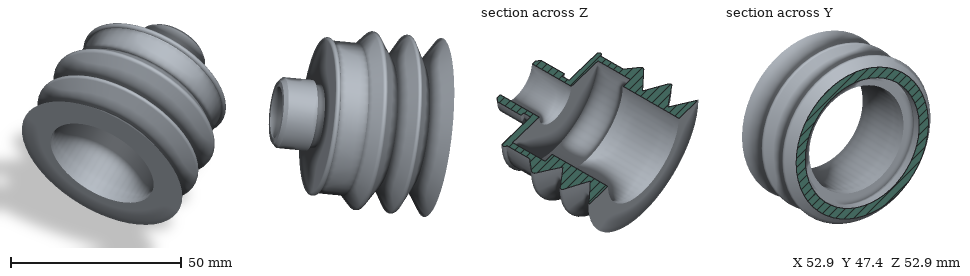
import cadquery as cq
import math


outer_radius = 26.45
lower_valley_y = 5.4
lower_valley_radius = 18.75
lower_crest_y = 10.25
lower_crest_round = 0.75
upper_valley_y = 15.2
upper_valley_radius = 19.25
upper_crest_y = 20.8
upper_crest_round = 0.95

body_bottom_y = 25.0
body_top_y = 34.95
body_radius = 45.15 / 2
bead_radius = 46.9 / 2
bead_round = 0.8

total_length = 47.35
collar_bottom_y = 37.35
neck_radius = 18.65 / 2
collar_radius = 20.95 / 2
collar_chamfer = 1.15

mouth_radius = 34.0 / 2
mouth_depth = 20.8
chamber_radius = 40.85 / 2
roof_thickness = body_radius - chamber_radius
bore_radius = 15.3 / 2


def tangent_point(start, centre, radius, side):
    """Point where a line from start touches a circle, on the +Y (side 1) or -Y (side -1) flank."""
    to_start = math.atan2(start[1] - centre[1], start[0] - centre[0])
    turn = math.acos(radius / math.dist(start, centre))
    angle = to_start - side * turn
    return (centre[0] + radius * math.cos(angle), centre[1] + radius * math.sin(angle))


def add_rounded_crest(outline, below, above, crest_y, crest_round):
    """Continue the outline from below to above over a crest whose flanks touch its rounding."""
    centre = (outer_radius - crest_round, crest_y)
    lower_touch = tangent_point(below, centre, crest_round, -1)
    upper_touch = tangent_point(above, centre, crest_round, 1)
    tip = (outer_radius, crest_y)
    return outline.lineTo(*lower_touch).threePointArc(tip, upper_touch).lineTo(*above)


def make_outer_shape():
    """Revolve the outer outline, drawn as (radius, Y) points from the lip to the collar."""
    lower_valley = (lower_valley_radius, lower_valley_y)
    upper_valley = (upper_valley_radius, upper_valley_y)
    body_bottom = (body_radius, body_bottom_y)
    bead_centre_radius = bead_radius - bead_round
    bead_bottom_y = body_top_y - 2 * bead_round

    outline = cq.Workplane("XY").lineTo(outer_radius, 0).lineTo(*lower_valley)
    outline = add_rounded_crest(outline, lower_valley, upper_valley, lower_crest_y, lower_crest_round)
    outline = add_rounded_crest(outline, upper_valley, body_bottom, upper_crest_y, upper_crest_round)
    outline = (
        outline.lineTo(body_radius, bead_bottom_y)
        .lineTo(bead_centre_radius, bead_bottom_y)
        .threePointArc((bead_radius, body_top_y - bead_round), (bead_centre_radius, body_top_y))
        .lineTo(neck_radius, body_top_y)
        .lineTo(neck_radius, collar_bottom_y)
        .lineTo(collar_radius, collar_bottom_y)
        .lineTo(collar_radius, total_length - collar_chamfer)
        .lineTo(collar_radius - collar_chamfer, total_length)
        .lineTo(0, total_length)
        .close()
    )
    return outline.revolve(360, (0, 0), (0, 1))


def make_cavity():
    """Revolve the stepped hollow running from the lip to the end of the fitting."""
    chamber_top_y = body_top_y - roof_thickness
    outline = (
        cq.Workplane("XY")
        .lineTo(mouth_radius, 0)
        .lineTo(mouth_radius, mouth_depth)
        .lineTo(chamber_radius, mouth_depth)
        .lineTo(chamber_radius, chamber_top_y)
        .lineTo(bore_radius, chamber_top_y)
        .lineTo(bore_radius, total_length)
        .lineTo(0, total_length)
        .close()
    )
    return outline.revolve(360, (0, 0), (0, 1))


result = make_outer_shape().cut(make_cavity())